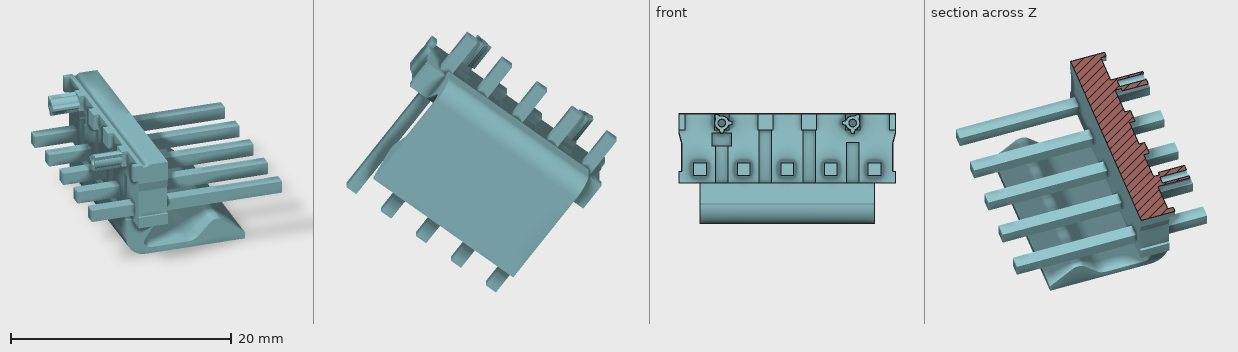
import cadquery as cq


pin_count = 5
pin_span = 15.85
pitch = pin_span / (pin_count - 1)
pin_size = 1.15
pin_length = 18.28
pin_front = 4.07
pin_height = 1.24

wall_width = 19.66
wall_depth = 2.77
wall_height = 6.31
side_inset = 0.24
foot_height = 1.06
taper_bottom = 3.62
taper_top = 4.5

groove_depth = 0.22
groove_front = 0.4
groove_floor_back = 0.73
groove_back = 1.02

pad_thickness = 0.53
pad_height = 1.51
end_pad_width = 0.55
peg_pad_width = 1.3
middle_pad_width = 1.38

slot_width = pin_size
slot_depth = 0.4
right_slot_height = 3.68
pocket_width = 1.75
pocket_height = 1.16
pocket_bottom = 3.36
pocket_depth = 0.55

peg_x = 1.5 * pitch
peg_z = 5.45
peg_length = 2.55
peg_radius = 0.65
peg_hole_diameter = 0.69
rib_tip_radius = 0.95
rib_root_radius = 0.63
rib_tip_width = 0.22
rib_root_width = 0.47
rib_angles = (0, 127, 270)

hook_height = 3.7
strip_thickness = 0.59
tail_reach = 8.06
hook_bottom = -hook_height
strip_top = hook_bottom + strip_thickness
tail_y = wall_depth + tail_reach
tail_thickness = 0.63
crest_z = -1.25
crest_back_y = 8.45
crest_front_y = 7.77
valley_y = 5.95
throat_y = 0.55
heel_radius = 1.79
throat_radius = 0.63
crest_radius = 0.69
valley_radius = 1.25


def box(width, depth, height, x, y, z):
    """Box centred on x, with its front at y and its bottom at z."""
    return cq.Workplane("XY").box(width, depth, height, centered=(True, False, False)).translate((x, y, z))


def make_wall():
    half = wall_width / 2
    inner = half - side_inset
    right_side = [
        (half, 0),
        (half, foot_height),
        (inner, foot_height),
        (inner, taper_bottom),
        (half, taper_top),
        (half, wall_height),
    ]
    left_side = [(-x, z) for x, z in reversed(right_side)]
    wall = cq.Workplane("XZ").polyline(right_side + left_side).close().extrude(-wall_depth)

    groove_floor = wall_height - groove_depth
    groove = (
        cq.Workplane("YZ")
        .polyline([
            (groove_front, wall_height),
            (groove_front, groove_floor),
            (groove_floor_back, groove_floor),
            (groove_back, wall_height),
        ])
        .close()
        .extrude(wall_width / 2, both=True)
    )
    return wall.cut(groove)


def make_pads():
    end_x = (wall_width - end_pad_width) / 2
    pads = cq.Workplane("XY")
    for x, width in ((end_x, end_pad_width), (peg_x, peg_pad_width), (pitch / 2, middle_pad_width)):
        for side in (-1, 1):
            pads = pads.union(
                box(width, pad_thickness, pad_height, side * x, -pad_thickness, wall_height - pad_height)
            )
    return pads


def make_recesses():
    slot_tops = (
        (-peg_x, pocket_bottom),
        (-pitch / 2, wall_height - pad_height),
        (pitch / 2, wall_height - pad_height),
        (peg_x, right_slot_height),
    )
    recesses = box(pocket_width, pocket_depth, pocket_height, -peg_x, 0, pocket_bottom)
    for x, top in slot_tops:
        recesses = recesses.union(box(slot_width, slot_depth, top, x, 0, 0))
    return recesses


def make_left_peg():
    front = cq.Workplane("XZ")
    peg = front.circle(peg_radius).extrude(peg_length)
    rib = (
        front.polyline([
            (0, -rib_root_width / 2),
            (rib_root_radius, -rib_root_width / 2),
            (rib_tip_radius, -rib_tip_width / 2),
            (rib_tip_radius, rib_tip_width / 2),
            (rib_root_radius, rib_root_width / 2),
            (0, rib_root_width / 2),
        ])
        .close()
        .extrude(peg_length)
    )
    for angle in rib_angles:
        peg = peg.union(rib.rotate((0, 0, 0), (0, -1, 0), angle))
    peg = peg.cut(front.circle(peg_hole_diameter / 2).extrude(peg_length))
    return peg.translate((-peg_x, -pad_thickness, peg_z))


def make_hook():
    hook = (
        cq.Workplane("YZ")
        .polyline([
            (-pad_thickness, 0),
            (-pad_thickness, hook_bottom),
            (tail_y, hook_bottom),
            (tail_y, hook_bottom + tail_thickness),
            (crest_back_y, crest_z),
            (crest_front_y, crest_z),
            (valley_y, strip_top),
            (throat_y, strip_top),
            (wall_depth, 0),
        ])
        .close()
        .extrude(pin_span / 2, both=True)
    )
    roundings = (
        (-pad_thickness, hook_bottom, heel_radius),
        (throat_y, strip_top, throat_radius),
        (valley_y, strip_top, valley_radius),
        (crest_back_y, crest_z, crest_radius),
        (crest_front_y, crest_z, crest_radius),
    )
    for y, z, radius in roundings:
        hook = hook.edges(cq.selectors.NearestToPointSelector((0, y, z))).fillet(radius)
    return hook


def make_pins():
    pins = cq.Workplane("XY")
    for index in range(pin_count):
        x = index * pitch - pin_span / 2
        pins = pins.union(box(pin_size, pin_length, pin_size, x, -pin_front, pin_height - pin_size / 2))
    return pins


left_peg = make_left_peg()
body = make_wall().union(make_pads()).cut(make_recesses())
result = (
    body.union(make_hook())
    .union(left_peg)
    .union(left_peg.mirror("YZ"))
    .union(make_pins())
)